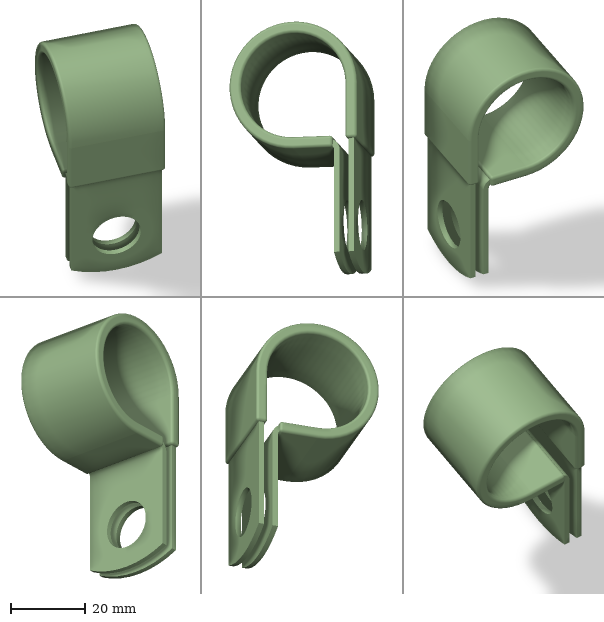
import cadquery as cq
import math

loop_diameter = 34.8
total_height = 66.6
cushion_width = 27.0
cover = 0.8
strap_thickness = 1.5
outer_leg_cover_end = 15.05
lower_leg_cover_end = 10.8
inner_leg_outer_x = 12.65
hole_diameter = 13.5
hole_drop = 36.4
tip_rise = 3.0

loop_radius = loop_diameter / 2
strap_width = cushion_width - 2 * cover
strap_outer_radius = loop_radius - cover
cushion_thickness = strap_thickness + 2 * cover
bottom_z = loop_radius - total_height
bend_inner_radius = strap_thickness
bend_outer_radius = bend_inner_radius + strap_thickness
bend_x = inner_leg_outer_x - bend_outer_radius
strap_inner_radius = strap_outer_radius - strap_thickness
bend_z = -strap_inner_radius - bend_outer_radius
diagonal = math.sqrt(0.5)


def loop_band(outer_radius, thickness, lower_end_x, outer_leg_end_z, width):
    """Three-quarter loop with a horizontal lower leg and a vertical outer leg."""
    inner_radius = outer_radius - thickness
    return (
        cq.Workplane("XZ")
        .moveTo(lower_end_x, -outer_radius)
        .lineTo(0, -outer_radius)
        .threePointArc((-outer_radius * diagonal, outer_radius * diagonal), (outer_radius, 0))
        .lineTo(outer_radius, outer_leg_end_z)
        .lineTo(inner_radius, outer_leg_end_z)
        .lineTo(inner_radius, 0)
        .threePointArc((-inner_radius * diagonal, inner_radius * diagonal), (0, -inner_radius))
        .lineTo(lower_end_x, -inner_radius)
        .close()
        .extrude(width / 2, both=True)
    )


def inner_leg():
    """Bend from the lower leg of the loop down into the inner mounting leg."""
    inner_x = inner_leg_outer_x - strap_thickness
    return (
        cq.Workplane("XZ")
        .moveTo(bend_x, -strap_inner_radius)
        .threePointArc(
            (bend_x + bend_outer_radius * diagonal, bend_z + bend_outer_radius * diagonal),
            (inner_leg_outer_x, bend_z),
        )
        .lineTo(inner_leg_outer_x, bottom_z)
        .lineTo(inner_x, bottom_z)
        .lineTo(inner_x, bend_z)
        .threePointArc(
            (bend_x + bend_inner_radius * diagonal, bend_z + bend_inner_radius * diagonal),
            (bend_x, -strap_outer_radius),
        )
        .close()
        .extrude(strap_width / 2, both=True)
    )


def tip_envelope():
    """Block with a curved bottom that trims both leg tips."""
    half_width = cushion_width / 2
    half_strap = strap_width / 2
    corner_z = bottom_z + tip_rise
    return (
        cq.Workplane("YZ")
        .moveTo(-half_strap, corner_z)
        .threePointArc((0, bottom_z), (half_strap, corner_z))
        .lineTo(half_width, corner_z)
        .lineTo(half_width, loop_radius)
        .lineTo(-half_width, loop_radius)
        .lineTo(-half_width, corner_z)
        .close()
        .extrude(loop_radius, both=True)
    )


cushion = loop_band(
    loop_radius, cushion_thickness, lower_leg_cover_end, -outer_leg_cover_end, cushion_width
)
mid_radius = loop_radius - cushion_thickness / 2
lower_end = cq.selectors.NearestToPointSelector((lower_leg_cover_end, 0, -mid_radius))
outer_end = cq.selectors.NearestToPointSelector((mid_radius, 0, -outer_leg_cover_end))
side_faces = cq.selectors.StringSyntaxSelector("|Y")
cushion = cushion.faces(side_faces + lower_end + outer_end).edges().fillet(cover)

strap = loop_band(strap_outer_radius, strap_thickness, bend_x, bottom_z, strap_width)
strap = strap.union(inner_leg()).intersect(tip_envelope())

bolt_hole = (
    cq.Workplane("YZ")
    .center(0, -hole_drop)
    .circle(hole_diameter / 2)
    .extrude(loop_radius)
)

result = cushion.union(strap).cut(bolt_hole)